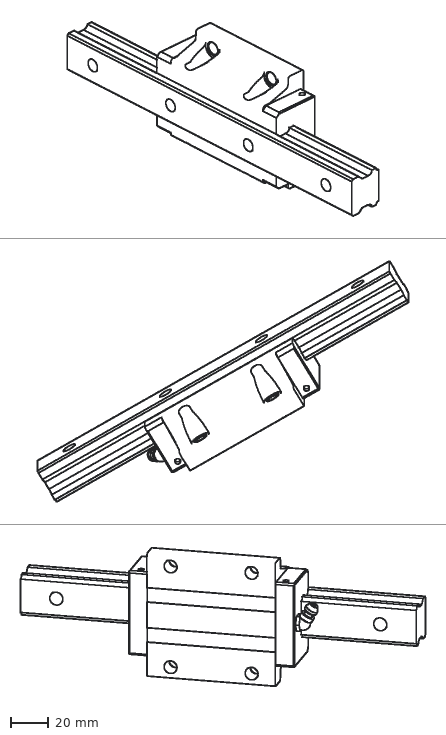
import cadquery as cq
import math


rail_length = 220.0
rail_half_width = 11.5
rail_height = 20.5
rail_waist_half_width = 9.0
rail_base_chamfer = 1.0
foot_slope_bottom = 5.3
foot_slope_top = 8.0
waist_top = 12.3
waist_bevel_height = 0.7
waist_bevel_depth = 0.2
head_groove_radius = 2.0
rail_hole_diameter = 7.3
rail_hole_pitch = 60.0
rail_hole_count = 4

carriage_top = 36.0
carriage_bottom = 5.5
block_length = 71.3
flange_half_width = 35.0
flange_underside = 24.5
flange_lower_radius = 1.8
flange_upper_radius = 1.3
skirt_half_width = 24.2
skirt_corner_radius = 2.5
slope_bottom = 10.8
slope_root_half_width = 28.4
slope_root_radius = 2.5
slope_end_radius = 3.3
top_groove_inner = 7.3
top_groove_outer = 15.5
top_groove_depth = 0.7

mount_hole_diameter = 7.0
mount_hole_pitch_x = 45.0
mount_hole_pitch_z = 57.0
mount_countersink = 0.5
screw_clearance_radius = 5.5

cap_length = 10.5
cap_half_width = 23.8
cap_top = 35.0
cap_top_chamfer = 1.0
cap_bottom_chamfer = 2.5
cap_end_chamfer = 0.7
cap_pin_hole_diameter = 3.0
cap_pin_hole_depth = 4.5
cap_pin_hole_x = 40.3
cap_pin_hole_y = 30.5

nipple_y = 28.4
nipple_hex_corners = 9.5
nipple_hex_thickness = 2.0
nipple_elbow_radius = 4.0
nipple_elbow_reach = 3.0
nipple_tilt = 30.0
nipple_collar_radius = 3.7
nipple_collar_start = 2.9
nipple_collar_end = 5.5
nipple_neck_radius = 2.5
nipple_neck_end = 7.3
nipple_head_radius = 3.5
nipple_head_start = 8.1
nipple_head_end = 9.7
nipple_tip_radius = 2.5
nipple_tip_end = 12.0
nipple_bore_radius = 1.0
nipple_bore_depth = 0.9

quarter_arc_middle = math.sqrt(0.5)

carriage_length = block_length + 2 * cap_length
carriage_end = carriage_length / 2


def extrude_along_x(outline, length):
    """Extrude an outline drawn in (Y, Z) over a length centred on X = 0."""
    return outline.extrude(length / 2, both=True)


def round_edges(body, y, half_width, radius):
    """Round the two lengthwise edges at a height y and at +/- half_width."""
    for z in (half_width, -half_width):
        edge = cq.selectors.NearestToPointSelector((0, y, z))
        body = body.edges("|X").edges(edge).fillet(radius)
    return body


def chamfer_edges(body, y, half_width, size):
    """Chamfer the two lengthwise edges at a height y and at +/- half_width."""
    for z in (half_width, -half_width):
        edge = cq.selectors.NearestToPointSelector((0, y, z))
        body = body.edges("|X").edges(edge).chamfer(size)
    return body


def make_rail_bar(length):
    """Rail section without its holes: a foot, a narrow waist and a grooved head."""
    hollow_bottom = waist_top + waist_bevel_height
    hollow_floor = rail_waist_half_width + waist_bevel_depth
    hollow_radius = rail_half_width - hollow_floor
    hollow_middle = hollow_radius * quarter_arc_middle
    head_bottom = hollow_bottom + hollow_radius
    groove_offset = head_groove_radius * quarter_arc_middle
    head_flat_half_width = rail_half_width - head_groove_radius

    half = (
        cq.Workplane("YZ")
        .lineTo(0, rail_half_width - rail_base_chamfer)
        .lineTo(rail_base_chamfer, rail_half_width)
        .lineTo(foot_slope_bottom, rail_half_width)
        .lineTo(foot_slope_top, rail_waist_half_width)
        .lineTo(waist_top, rail_waist_half_width)
        .lineTo(hollow_bottom, hollow_floor)
        .threePointArc(
            (hollow_bottom + hollow_middle, rail_half_width - hollow_middle),
            (head_bottom, rail_half_width),
        )
        .lineTo(rail_height - head_groove_radius, rail_half_width)
        .threePointArc(
            (rail_height - groove_offset, rail_half_width - groove_offset),
            (rail_height, head_flat_half_width),
        )
        .lineTo(rail_height, 0)
        .close()
    )
    half_bar = extrude_along_x(half, length)
    return half_bar.union(half_bar.mirror("XY"))


def make_rail():
    holes = (
        cq.Workplane("XZ")
        .rarray(rail_hole_pitch, 2.2, rail_hole_count, 1)
        .circle(rail_hole_diameter / 2)
        .extrude(-rail_height)
    )
    return make_rail_bar(rail_length).cut(holes)


def make_block():
    """Steel middle of the carriage, with sloped flanks under its two flanges."""
    half_section = [
        (carriage_top, flange_half_width),
        (flange_underside, flange_half_width),
        (flange_underside, slope_root_half_width),
        (slope_bottom, skirt_half_width),
        (carriage_bottom, skirt_half_width),
    ]
    other_half = [(y, -z) for y, z in reversed(half_section)]
    block = extrude_along_x(cq.Workplane("YZ").polyline(half_section + other_half).close(), block_length)
    block = round_edges(block, flange_underside, slope_root_half_width, slope_root_radius)
    block = round_edges(block, carriage_bottom, skirt_half_width, skirt_corner_radius)
    block = round_edges(block, slope_bottom, skirt_half_width, slope_end_radius)
    block = round_edges(block, flange_underside, flange_half_width, flange_lower_radius)
    return round_edges(block, carriage_top, flange_half_width, flange_upper_radius)


def make_end_cap(side):
    """End cap on the -X (side = -1) or +X (side = 1) end of the block."""
    cap_height = cap_top - carriage_bottom
    cap_x = side * (block_length + cap_length) / 2
    cap = cq.Workplane("XY").box(cap_length, cap_height, 2 * cap_half_width)
    cap = cap.translate((0, carriage_bottom + cap_height / 2, 0))
    outer_face = ">X" if side > 0 else "<X"
    cap = cap.faces(outer_face).edges(">Y or >Z or <Z").chamfer(cap_end_chamfer)
    cap = chamfer_edges(cap, carriage_bottom, cap_half_width, cap_bottom_chamfer)
    cap = chamfer_edges(cap, cap_top, cap_half_width, cap_top_chamfer)
    cap = cap.translate((cap_x, 0, 0))
    pin_hole = (
        cq.Workplane("XY", origin=(side * cap_pin_hole_x, cap_pin_hole_y, cap_half_width))
        .circle(cap_pin_hole_diameter / 2)
        .extrude(-cap_pin_hole_depth)
    )
    return cap.cut(pin_hole).cut(pin_hole.mirror("XY"))


def make_top_grooves():
    groove_width = top_groove_outer - top_groove_inner
    groove_z = (top_groove_outer + top_groove_inner) / 2
    return (
        cq.Workplane("XZ", origin=(0, carriage_top, 0))
        .pushPoints([(0, groove_z), (0, -groove_z)])
        .rect(block_length, groove_width)
        .extrude(top_groove_depth)
    )


def make_mount_hole_cutters():
    """Through holes, countersunk below, with a clearance for the screws cut into the flanks."""
    hole_radius = mount_hole_diameter / 2
    profile = [
        (0, carriage_bottom),
        (screw_clearance_radius, carriage_bottom),
        (screw_clearance_radius, flange_underside),
        (hole_radius + mount_countersink, flange_underside),
        (hole_radius, flange_underside + mount_countersink),
        (hole_radius, carriage_top),
        (0, carriage_top),
    ]
    cutter = cq.Workplane("XY").polyline(profile).close().revolve(360, (0, 0, 0), (0, 1, 0))
    return [
        cutter.translate((side_x * mount_hole_pitch_x / 2, 0, side_z * mount_hole_pitch_z / 2))
        for side_x in (-1, 1)
        for side_z in (-1, 1)
    ]


def make_carriage():
    carriage = make_block()
    for side in (-1, 1):
        carriage = carriage.union(make_end_cap(side))
    for cutter in make_mount_hole_cutters():
        carriage = carriage.cut(cutter)
    return carriage.cut(make_top_grooves()).cut(make_rail_bar(carriage_length))


def make_grease_nipple():
    """Hexagonal base on the -X end, a round elbow, and a head leaning from +Z towards -X."""
    base = cq.Workplane("YZ").polygon(6, nipple_hex_corners).extrude(-nipple_hex_thickness)
    elbow_diagonal = nipple_elbow_radius * quarter_arc_middle
    elbow = (
        cq.Workplane("XY")
        .lineTo(0, nipple_elbow_radius)
        .lineTo(-nipple_elbow_reach, nipple_elbow_radius)
        .threePointArc(
            (-nipple_elbow_reach - elbow_diagonal, elbow_diagonal),
            (-nipple_elbow_reach - nipple_elbow_radius, 0),
        )
        .close()
        .revolve(360, (0, 0, 0), (1, 0, 0))
    )
    profile = [
        (0, 0),
        (nipple_neck_radius, 0),
        (nipple_neck_radius, nipple_collar_start),
        (nipple_collar_radius, nipple_collar_start),
        (nipple_collar_radius, nipple_collar_end),
        (nipple_neck_radius, nipple_collar_end),
        (nipple_neck_radius, nipple_neck_end),
        (nipple_head_radius, nipple_head_start),
        (nipple_head_radius, nipple_head_end),
        (nipple_tip_radius, nipple_tip_end),
        (nipple_bore_radius, nipple_tip_end),
        (nipple_bore_radius, nipple_tip_end - nipple_bore_depth),
        (0, nipple_tip_end - nipple_bore_depth),
    ]
    head = cq.Workplane("XZ").polyline(profile).close().revolve(360, (0, 0, 0), (0, 1, 0))
    head = head.rotate((0, 0, 0), (0, 1, 0), -nipple_tilt)
    head = head.translate((-nipple_elbow_reach, 0, 0))
    return base.union(elbow).union(head).translate((-carriage_end, nipple_y, 0))


rail = make_rail()
carriage = make_carriage()
grease_nipple = make_grease_nipple()

result = cq.Compound.makeCompound([rail.val(), carriage.val(), grease_nipple.val()])